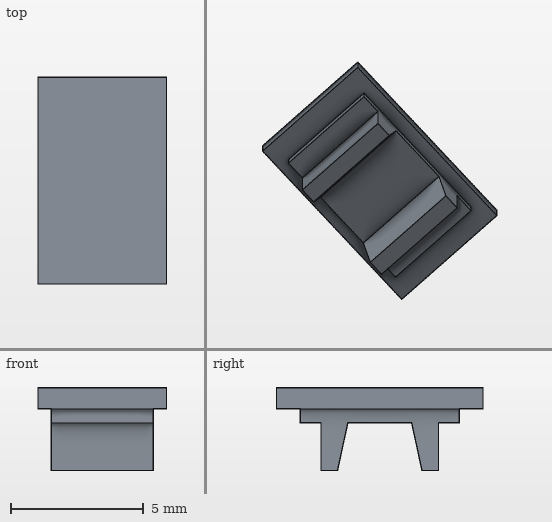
import cadquery as cq

plate_width = 4.85
plate_length = 7.8
plate_thickness = 0.8

step_width = 3.85
step_length = 6.0
step_thickness = 0.53

leg_height = 1.8
leg_outer_span = 4.44
leg_root_gap = 2.4
leg_tip_gap = 3.18

step_bottom = leg_height
plate_bottom = step_bottom + step_thickness


def make_slab(width, length, thickness, bottom):
    """Rectangular slab centred on the Z axis."""
    slab = cq.Workplane("XY").box(width, length, thickness, centered=(True, True, False))
    return slab.translate((0, 0, bottom))


def make_leg(side):
    """Tapered leg on the +Y (side = 1) or -Y (side = -1) half."""
    outer_y = side * leg_outer_span / 2
    root_y = side * leg_root_gap / 2
    tip_y = side * leg_tip_gap / 2
    profile = [
        (outer_y, 0),
        (outer_y, step_bottom),
        (root_y, step_bottom),
        (tip_y, 0),
    ]
    return cq.Workplane("YZ").polyline(profile).close().extrude(step_width / 2, both=True)


plate = make_slab(plate_width, plate_length, plate_thickness, plate_bottom)
step = make_slab(step_width, step_length, step_thickness, step_bottom)

result = plate.union(step)
for side in (-1, 1):
    result = result.union(make_leg(side))